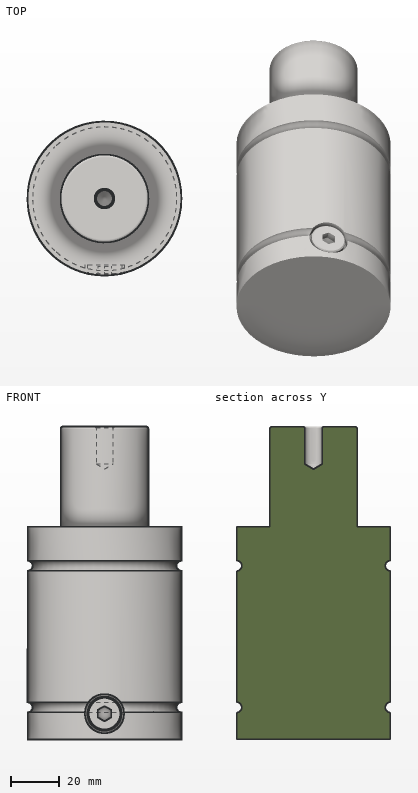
import cadquery as cq
import math

body_diameter = 63.0
body_radius = body_diameter / 2
body_height = 87.0
groove_radius = 2.0
groove_heights = (13.2, 71.0)

total_height = 128.0
rod_diameter = 36.0
rod_edge_radius = 1.2

hole_diameter = 6.8
hole_mouth_diameter = 8.0
hole_depth = 15.4
drill_point_angle = 118.0

plug_height = 10.6
plug_diameter = 14.0
plug_recess = 0.5
plug_chamfer = 0.5
bore_diameter = 16.0
bore_depth = 4.5
hex_across_flats = 5.4
hex_depth = 3.2


def make_body():
    return cq.Workplane("XY").circle(body_radius).extrude(body_height)


def make_rod():
    rod = cq.Workplane("XY").workplane(offset=body_height).circle(rod_diameter / 2)
    rod = rod.extrude(total_height - body_height)
    return rod.faces(">Z").edges().fillet(rod_edge_radius)


def make_groove(height):
    """Ring with a round section, centred on the body surface."""
    return cq.Workplane("XZ").center(body_radius, height).circle(groove_radius).revolve(
        360, (-body_radius, 0, 0), (-body_radius, 1, 0)
    )


def make_rod_hole():
    """Blind drilled hole with a 45 degree mouth and a conical bottom."""
    radius = hole_diameter / 2
    mouth_radius = hole_mouth_diameter / 2
    mouth_depth = mouth_radius - radius
    point_length = radius / math.tan(math.radians(drill_point_angle / 2))
    floor = total_height - hole_depth
    profile = [
        (0, total_height),
        (mouth_radius, total_height),
        (radius, total_height - mouth_depth),
        (radius, floor),
        (0, floor - point_length),
    ]
    return cq.Workplane("XZ").polyline(profile).close().revolve(360, (0, 0, 0), (0, 1, 0))


def plug_plane(depth):
    """Sketch plane at a depth below the body surface; extrusion runs outward along -Y."""
    return cq.Workplane("XZ", origin=(0, depth - body_radius, plug_height))


def add_plug(part):
    bore = plug_plane(bore_depth).circle(bore_diameter / 2).extrude(bore_depth)
    plug = plug_plane(bore_depth).circle(plug_diameter / 2).extrude(bore_depth - plug_recess)
    plug = plug.faces("<Y").chamfer(plug_chamfer)
    hex_corner_diameter = hex_across_flats / math.cos(math.pi / 6)
    socket_sketch = plug_plane(plug_recess).transformed(rotate=(0, 0, 90))
    socket = socket_sketch.polygon(6, hex_corner_diameter).extrude(-hex_depth)
    return part.cut(bore).union(plug).cut(socket)


result = make_body().union(make_rod()).cut(make_rod_hole())
for groove_height in groove_heights:
    result = result.cut(make_groove(groove_height))
result = add_plug(result)